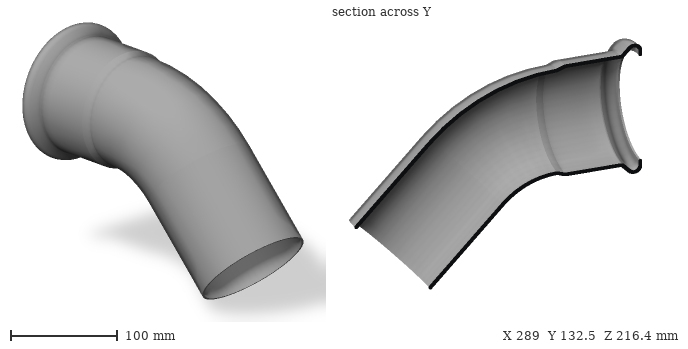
import cadquery as cq
import math

wall = 2.0
bend_angle = 45
bend_radius = 130.0
tube_radius = 108.0 / 2
overall_length = 289.0

socket_radius = 57.0
taper_start = 76.8
taper_end = 85.0

bead_radius = 7.5
bead_outer_radius = 132.5 / 2
bead_center_radius = bead_outer_radius - bead_radius
mouth_radius = 54.0
neck_fillet = 2.3

diagonal = math.sqrt(0.5)
full_turn = 360

bend_rad = math.radians(bend_angle)
bend_end_x = taper_end + bend_radius * math.sin(bend_rad)
bend_end_z = -bend_radius * (1 - math.cos(bend_rad))
spigot_length = (overall_length - bend_end_x - tube_radius * math.sin(bend_rad)) / math.cos(bend_rad)


def socket_profile(inset):
    """Half section of the socket offset inward by inset, and its neck corner position."""
    bead = bead_radius - inset
    neck = socket_radius - inset
    cone_x = bead_radius + bead * diagonal
    cone_radius = bead_center_radius + bead * diagonal
    neck_x = cone_x + cone_radius - neck
    profile = (
        cq.Workplane("XY")
        .moveTo(inset, 0)
        .lineTo(inset, bead_center_radius)
        .threePointArc((bead_radius, bead_center_radius + bead), (cone_x, cone_radius))
        .lineTo(neck_x, neck)
        .lineTo(taper_start, neck)
        .lineTo(taper_end, tube_radius - inset)
        .lineTo(taper_end, 0)
        .close()
    )
    return profile, neck_x, neck


def socket_body(inset):
    """Solid of revolution about X, with the neck behind the bead rounded."""
    profile, neck_x, neck = socket_profile(inset)
    body = profile.revolve(full_turn, (0, 0, 0), (1, 0, 0))
    margin = 0.3
    neck_edge = cq.selectors.BoxSelector(
        (neck_x - margin, -neck - margin, -neck - margin),
        (neck_x + margin, neck + margin, neck + margin),
        boundingbox=True,
    )
    return body.edges(neck_edge).fillet(neck_fillet)


def tube_body(radius):
    """Bend turning down towards -Z, followed by the straight spigot."""
    bend = (
        cq.Workplane("YZ", origin=(taper_end, 0, 0))
        .circle(radius)
        .revolve(bend_angle, (-3, -bend_radius, 0), (3, -bend_radius, 0))
    )
    spigot_plane = cq.Plane(
        origin=(bend_end_x, 0, bend_end_z),
        xDir=(0, 1, 0),
        normal=(math.cos(bend_rad), 0, -math.sin(bend_rad)),
    )
    spigot = cq.Workplane(spigot_plane).circle(radius).extrude(spigot_length)
    return bend.union(spigot)


def mouth_opening():
    """Round opening through the flat front wall of the bead."""
    return cq.Workplane("YZ").circle(mouth_radius).extrude(bead_radius)


outside = socket_body(0).union(tube_body(tube_radius))
inside = socket_body(wall).union(tube_body(tube_radius - wall))
result = outside.cut(inside).cut(mouth_opening())